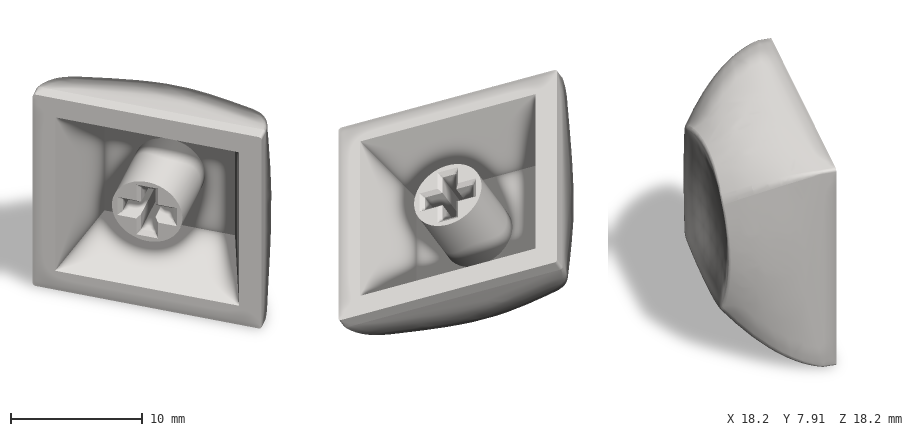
import cadquery as cq
import math

SIZE = 18.2
HEIGHT = 7.92
HALF = SIZE / 2

RIM_HEIGHT = 1.02
CORNER_RADIUS = 0.24

SIDE_RADIUS = 9.41
CORNER_LEAN = 0.14
CORNER_CURVE = 0.06374
CORNER_GROWTH = 0.1
DOME_SECTIONS = 7
DOME_TOP = HEIGHT + 0.18

DISH_RADIUS = 23.66
DISH_FLOOR = 6.86
DISH_EDGE_RADIUS = 0.36

CAVITY_OPENING = 14.6
CAVITY_FLOOR = 10.37
CAVITY_DEPTH = 5.7

STEM_DIAMETER = 5.6
CROSS_LENGTH = 4.04
CROSS_WIDTH = 1.15
CROSS_MOUTH_LENGTH = 4.73
CROSS_MOUTH_WIDTH = 1.71
CROSS_CHAMFER_DEPTH = 0.3


def plane_at(y):
    """Plane across the key at height y, with X and Z in their usual directions."""
    return cq.Plane(origin=(0, y, 0), xDir=(1, 0, 0), normal=(0, -1, 0))


def frustum(y_start, size_start, y_end, size_end):
    """Tapered block between two centred rectangles."""
    wires = [
        cq.Workplane(plane_at(y)).rect(*size).val()
        for y, size in ((y_start, size_start), (y_end, size_end))
    ]
    return cq.Workplane(cq.Solid.makeLoft(wires, True))


def dome_section(y):
    """Square section with bowed sides and rounded corners at height y."""
    rise = y - RIM_HEIGHT
    side = HALF - SIDE_RADIUS + math.sqrt(SIDE_RADIUS**2 - rise**2)
    corner = HALF - CORNER_LEAN * rise - CORNER_CURVE * rise**2
    if rise > 0:
        square = (
            cq.Workplane(plane_at(y))
            .moveTo(corner, -corner)
            .threePointArc((side, 0), (corner, corner))
            .threePointArc((0, side), (-corner, corner))
            .threePointArc((-side, 0), (-corner, -corner))
            .threePointArc((0, -side), (corner, -corner))
            .wire()
            .val()
        )
    else:
        square = cq.Workplane(plane_at(y)).rect(SIZE, SIZE).val()
    return square.fillet2D(CORNER_RADIUS + CORNER_GROWTH * rise, square.Vertices())


def make_cap():
    rim = (
        cq.Workplane(plane_at(0))
        .rect(SIZE, SIZE)
        .extrude(-RIM_HEIGHT)
        .edges("|Y")
        .fillet(CORNER_RADIUS)
    )
    step = (DOME_TOP - RIM_HEIGHT) / (DOME_SECTIONS - 1)
    sections = [dome_section(RIM_HEIGHT + i * step) for i in range(DOME_SECTIONS)]
    dome = cq.Workplane(cq.Solid.makeLoft(sections))
    dish = cq.Workplane().sphere(DISH_RADIUS).translate((0, DISH_FLOOR + DISH_RADIUS, 0))
    cavity = frustum(
        0, (CAVITY_OPENING, CAVITY_OPENING), CAVITY_DEPTH, (CAVITY_FLOOR, CAVITY_FLOOR)
    )
    dished = dome.cut(dish)
    rounded = dished.faces(">Y").edges().fillet(DISH_EDGE_RADIUS)
    return rim.union(rounded).cut(cavity)


def make_stem():
    """Round post from the cavity floor to the rim plane, with a cross through it."""
    stem = cq.Workplane(plane_at(0)).circle(STEM_DIAMETER / 2).extrude(-CAVITY_DEPTH)
    bar = (CROSS_LENGTH, CROSS_WIDTH)
    mouth = (CROSS_MOUTH_LENGTH, CROSS_MOUTH_WIDTH)
    for turn in (1, -1):
        stem = stem.cut(cq.Workplane(plane_at(0)).rect(*bar[::turn]).extrude(-CAVITY_DEPTH))
        stem = stem.cut(frustum(0, mouth[::turn], CROSS_CHAMFER_DEPTH, bar[::turn]))
    return stem


cap = make_cap()
stem = make_stem()
result = cq.Compound.makeCompound([cap.solids().val(), stem.solids().val()])